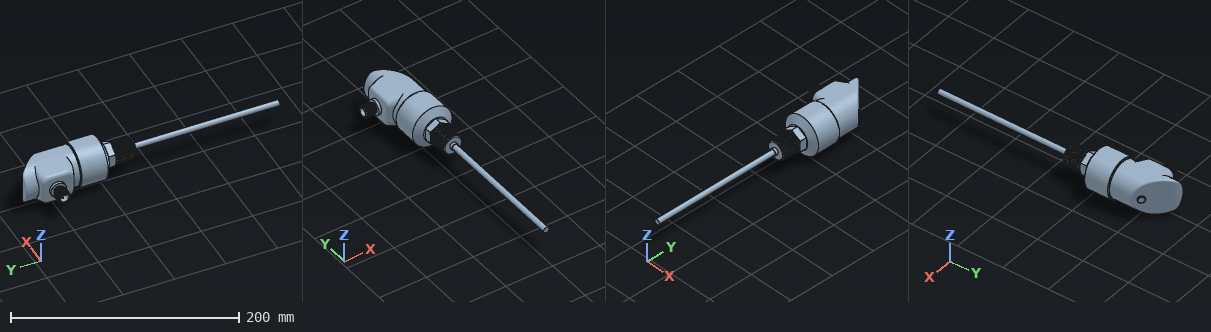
import cadquery as cq
import math

length = 254.5

collar_start = 140.5
thread_start = 143.5
hex_start = 163.1
cone_start = 170.5
cap_start = 175.5
cap_end = 201.8

rod_radius = 3.0
collar_radius = 3.5
hex_across_flats = 21.6
hex_chamfer_radius = 11.5
hex_chamfer_height = 0.5
cone_small_radius = 12.7
cap_radius = 21.0
cap_chamfer = 0.8

thread_turns = 11
thread_tip_radius = 10.0
thread_base_radius = 10.7
thread_depth = 1.0
crest_share = 0.3

head_radius = 19.3
slope_low_end = 225.2
slope_bend_radius = 9.0
head_rim_fillet = 1.8

button_x = 12.7
button_radius = 3.8
button_height = 1.3
button_chamfer = 0.5

block_face_x = -24.2
block_root_x = -4.3
block_face_top = 240.5
block_root_top = 246.0
block_face_bottom = 210.0
block_root_bottom = 203.5
block_face_half_depth = 14.3
block_root_half_depth = 18.8
block_corner_radius = 7.0
block_face_fillet = 3.8

plug_y = 226.5
overall_width = 60.0
plug_tip_x = cap_radius - overall_width
flange_end_x = -27.0
flange_radius = 7.6
plug_root_radius = 5.3
plug_crest_radius = 6.0
plug_thread_turns = 8
plug_thread_start_x = -37.7
plug_thread_end_x = -29.5
plug_neck_start_x = -28.0
plug_neck_radius = 4.8
socket_radius = 4.0
socket_depth = 7.6
pin_count = 4
pin_radius = 0.8
pin_circle_radius = 2.5
pin_length = 3.8
pin_embed = 0.3


def ridges(start, end, start_crest, end_crest, depth, turns):
    """Points (radius, station) of flat-crested ridges between two stations."""
    pitch = (end - start) / turns
    taper = (end_crest - start_crest) / turns
    points = [(start_crest - depth, start)]
    for turn in range(turns):
        for place in ((1 - crest_share) / 2, (1 + crest_share) / 2):
            points.append((start_crest + taper * (turn + place), start + pitch * (turn + place)))
        points.append((start_crest + taper * (turn + 1) - depth, start + pitch * (turn + 1)))
    return points


def along_y(radius, start, end):
    """Cylinder on the probe axis."""
    return cq.Workplane("XZ", origin=(0, start, 0)).circle(radius).extrude(start - end)


def along_plug(radius, start, end):
    """Cylinder on the plug axis."""
    return cq.Workplane("YZ", origin=(start, plug_y, 0)).circle(radius).extrude(end - start)


def make_stem():
    """Rod, collar, pipe thread, cone and cap as one turned body."""
    outline = [
        (0, 0),
        (rod_radius, 0),
        (rod_radius, collar_start),
        (collar_radius, collar_start),
        (collar_radius, thread_start),
    ]
    outline += ridges(
        thread_start, hex_start, thread_tip_radius, thread_base_radius, thread_depth, thread_turns
    )
    outline += [
        (thread_base_radius - thread_depth, cone_start),
        (cone_small_radius, cone_start),
        (cap_radius, cap_start),
        (cap_radius, cap_end - cap_chamfer),
        (cap_radius - cap_chamfer, cap_end),
        (0, cap_end),
    ]
    return cq.Workplane("XY").polyline(outline).close().revolve(360, (0, 0, 0), (0, 1, 0))


def make_hexagon():
    """Wrench hexagon with two flats facing +X and -X, its corners chamfered at the thread end."""
    across_corners = hex_across_flats / math.cos(math.pi / 6)
    prism = (
        cq.Workplane("XZ", origin=(0, hex_start, 0))
        .transformed(rotate=(0, 0, 90))
        .polygon(6, across_corners)
        .extrude(hex_start - cone_start)
    )
    envelope = (
        cq.Workplane("XY")
        .polyline([
            (0, hex_start),
            (hex_chamfer_radius, hex_start),
            (across_corners / 2, hex_start + hex_chamfer_height),
            (across_corners / 2, cone_start),
            (0, cone_start),
        ])
        .close()
        .revolve(360, (0, 0, 0), (0, 1, 0))
    )
    return prism.intersect(envelope)


def make_head():
    """Cylinder with a flat top bending into the sloping face, the rim rounded."""
    slope_top_x = head_radius - (length - slope_low_end)
    side_profile = (
        cq.Workplane("XY", origin=(0, 0, -cap_radius))
        .polyline([
            (-cap_radius, cap_start),
            (cap_radius, cap_start),
            (cap_radius, slope_low_end + head_radius - cap_radius),
            (slope_top_x, length),
            (-cap_radius, length),
        ])
        .close()
        .extrude(2 * cap_radius)
    )
    bend_edge = cq.selectors.NearestToPointSelector((slope_top_x, length, 0))
    side_profile = side_profile.edges(bend_edge).fillet(slope_bend_radius)
    head = along_y(head_radius, cap_start, length).intersect(side_profile)
    rim_box = cq.selectors.BoxSelector(
        (-cap_radius, slope_low_end, -cap_radius), (cap_radius, length + head_rim_fillet, cap_radius)
    )
    return head.edges(rim_box).edges("not |Z").fillet(head_rim_fillet)


def make_button():
    """Round button with a chamfered top, standing on the sloping face."""
    button_y = slope_low_end + head_radius - button_x
    slope = cq.Plane(origin=(button_x, button_y, 0), xDir=(0, 0, 1), normal=(1, 1, 0))
    return (
        cq.Workplane(slope)
        .circle(button_radius)
        .extrude(button_height, both=True)
        .faces(cq.selectors.DirectionMinMaxSelector(cq.Vector(1, 1, 0)))
        .chamfer(button_chamfer)
    )


def make_block():
    """Block that tapers from the head to the plug face, with rounded edges."""
    side_profile = (
        cq.Workplane("XY", origin=(0, 0, -cap_radius))
        .polyline([
            (block_face_x, block_face_bottom),
            (block_root_x, block_root_bottom),
            (block_root_x, block_root_top),
            (block_face_x, block_face_top),
        ])
        .close()
        .extrude(2 * cap_radius)
    )
    end_profile = (
        cq.Workplane("XZ")
        .polyline([
            (block_face_x, -block_face_half_depth),
            (block_root_x, -block_root_half_depth),
            (block_root_x, block_root_half_depth),
            (block_face_x, block_face_half_depth),
        ])
        .close()
        .extrude(-length)
    )
    block = side_profile.intersect(end_profile)
    block = block.edges("not (<X or >X)").fillet(block_corner_radius)
    return block.faces("<X").edges().fillet(block_face_fillet)


def make_plug():
    """Flange and threaded plug with a pin socket in its end."""
    outline = [(0, plug_tip_x), (plug_root_radius, plug_tip_x)]
    outline += ridges(
        plug_thread_start_x,
        plug_thread_end_x,
        plug_crest_radius,
        plug_crest_radius,
        plug_crest_radius - plug_root_radius,
        plug_thread_turns,
    )
    outline += [
        (plug_root_radius, plug_neck_start_x),
        (plug_neck_radius, plug_neck_start_x),
        (plug_neck_radius, flange_end_x),
        (flange_radius, flange_end_x),
        (flange_radius, block_face_x),
        (0, block_face_x),
    ]
    along_x = [(station, plug_y + radius) for radius, station in outline]
    plug = cq.Workplane("XY").polyline(along_x).close().revolve(360, (0, plug_y, 0), (1, plug_y, 0))
    floor_x = plug_tip_x + socket_depth
    plug = plug.cut(along_plug(socket_radius, plug_tip_x, floor_x))
    for index in range(pin_count):
        angle = 2 * math.pi * index / pin_count
        pin = along_plug(pin_radius, floor_x + pin_embed, floor_x - pin_length).translate(
            (0, pin_circle_radius * math.cos(angle), pin_circle_radius * math.sin(angle))
        )
        plug = plug.union(pin)
    return plug


result = (
    make_stem()
    .union(make_hexagon())
    .union(make_head())
    .union(make_block())
    .union(make_button())
    .union(make_plug())
)